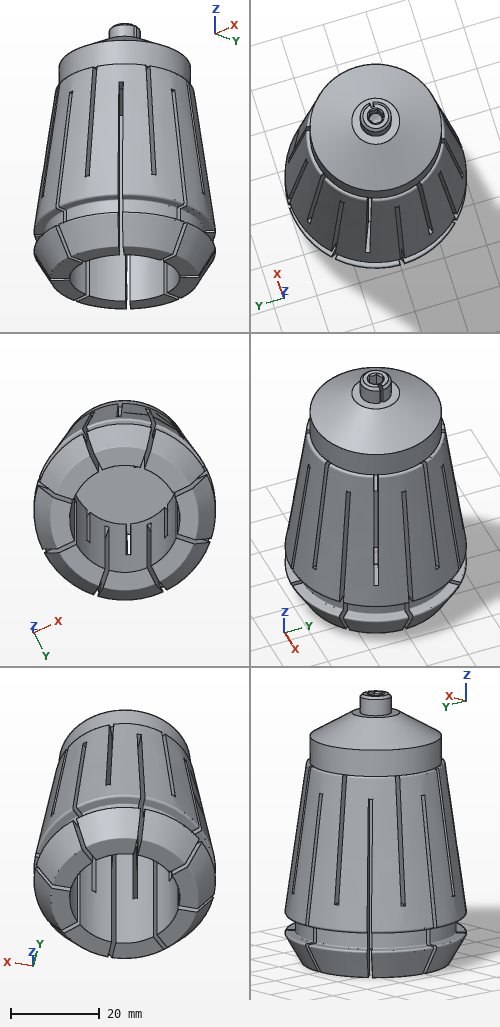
import cadquery as cq
import math

RIM_DIA = 40.85
GROOVE_DIA = 36.2
NOSE_ANGLE = 30.0
BODY_ANGLE = 8.0
NOSE_TOP_Z = 7.0
BODY_BOTTOM_Z = 11.05
BODY_TOP_Z = 46.05
BODY_ROUND = 0.5
NOSE_ROUND = 0.4
SMALL_ROUND = 0.25
BORE_DIA = 24.8

CAP_DIA = 29.6
CAP_SHOULDER_Z = 52.1
CAP_TOP_Z = 57.5
CAP_TOP_DIA = 10.75

PIN_DIA = 7.0
PIN_TOP_Z = 61.8
PIN_CHAMFER = 0.6
HEX_ACROSS_FLATS = 3.0
HEX_DEPTH = 3.1
HEX_MOUTH_DIA = 3.85
DRILL_POINT_ANGLE = 60.0
SLIT_WIDTH = 0.75
SLIT_INNER_RADIUS = 2.3
SLIT_OUTER_RADIUS = 3.15

SLOT_COUNT = 8
SLOT_WIDTH = 1.0
LOWER_SLOT_TOP_Z = 41.1
UPPER_SLOT_BOTTOM_Z = 17.05

rim_radius = RIM_DIA / 2
bore_radius = BORE_DIA / 2


def sharp_rim_radius(half_angle, fillet_radius):
    """Radius where a cone meets its groove wall before the rim is rounded down to RIM_DIA."""
    corner_angle = math.radians(90 - half_angle)
    return rim_radius - fillet_radius + fillet_radius / math.tan(corner_angle / 2)


def cone_radius(start_radius, height, half_angle):
    """Radius of a narrowing cone at a height from its start_radius."""
    return start_radius - height * math.tan(math.radians(half_angle))


def round_edge(body, radius, z, fillet_radius):
    """Fillet the circular edge of the given radius that lies at height z."""
    tolerance = 0.0005
    matching = [
        edge
        for edge in body.edges("%CIRCLE").vals()
        if abs(edge.radius() - radius) < tolerance and abs(edge.Center().z - z) < tolerance
    ]
    return body.newObject(matching).fillet(fillet_radius)


def turned_body():
    """Collet, cap and pin as one revolved solid with the bore open below."""
    groove_radius = GROOVE_DIA / 2
    nose_rim_radius = sharp_rim_radius(NOSE_ANGLE, NOSE_ROUND)
    nose_bottom_radius = cone_radius(nose_rim_radius, NOSE_TOP_Z, NOSE_ANGLE)
    body_rim_radius = sharp_rim_radius(BODY_ANGLE, BODY_ROUND)
    body_top_radius = cone_radius(body_rim_radius, BODY_TOP_Z - BODY_BOTTOM_Z, BODY_ANGLE)
    outline = [
        (bore_radius, 0),
        (nose_bottom_radius, 0),
        (nose_rim_radius, NOSE_TOP_Z),
        (groove_radius, NOSE_TOP_Z),
        (groove_radius, BODY_BOTTOM_Z),
        (body_rim_radius, BODY_BOTTOM_Z),
        (body_top_radius, BODY_TOP_Z),
        (CAP_DIA / 2, BODY_TOP_Z),
        (CAP_DIA / 2, CAP_SHOULDER_Z),
        (CAP_TOP_DIA / 2, CAP_TOP_Z),
        (PIN_DIA / 2, CAP_TOP_Z),
        (PIN_DIA / 2, PIN_TOP_Z - PIN_CHAMFER),
        (PIN_DIA / 2 - PIN_CHAMFER, PIN_TOP_Z),
        (0, PIN_TOP_Z),
        (0, BODY_TOP_Z),
        (bore_radius, BODY_TOP_Z),
    ]
    body = cq.Workplane("XZ").polyline(outline).close().revolve(360, (0, 0, 0), (0, 1, 0))
    body = round_edge(body, nose_rim_radius, NOSE_TOP_Z, NOSE_ROUND)
    body = round_edge(body, body_rim_radius, BODY_BOTTOM_Z, BODY_ROUND)
    body = round_edge(body, body_top_radius, BODY_TOP_Z, BODY_ROUND)
    body = round_edge(body, groove_radius, NOSE_TOP_Z, SMALL_ROUND)
    body = round_edge(body, groove_radius, BODY_BOTTOM_Z, SMALL_ROUND)
    return round_edge(body, nose_bottom_radius, 0, SMALL_ROUND)


def radial_slot(inner_radius, bottom_z, top_z, angle):
    """Cutter for one slot from inner_radius out past the rim, at an angle about Z."""
    return (
        cq.Workplane("XY")
        .box(rim_radius, SLOT_WIDTH, top_z - bottom_z, centered=(False, True, False))
        .translate((inner_radius, 0, bottom_z))
        .rotate((0, 0, 0), (0, 0, 1), angle)
    )


def cut_slots(body):
    """Alternate slots open at the bottom with slots open at the top of the collet."""
    pitch = 360 / SLOT_COUNT
    inside_bore = bore_radius - SLOT_WIDTH
    for i in range(SLOT_COUNT):
        body = body.cut(radial_slot(inside_bore, 0, LOWER_SLOT_TOP_Z, i * pitch))
        body = body.cut(radial_slot(inside_bore, UPPER_SLOT_BOTTOM_Z, BODY_TOP_Z, (i + 0.5) * pitch))
    return body


def hex_socket():
    """Cutter for the pin's hexagon socket with a countersunk mouth and a drill point."""
    flat_radius = HEX_ACROSS_FLATS / 2
    floor_z = PIN_TOP_Z - HEX_DEPTH
    corner_dia = HEX_ACROSS_FLATS / math.cos(math.pi / 6)
    hexagon = (
        cq.Workplane("XY", origin=(0, 0, floor_z))
        .polygon(6, corner_dia)
        .extrude(HEX_DEPTH)
        .rotate((0, 0, 0), (0, 0, 1), 30)
    )
    mouth_radius = HEX_MOUTH_DIA / 2
    mouth = cq.Solid.makeCone(0, mouth_radius, mouth_radius, pnt=cq.Vector(0, 0, PIN_TOP_Z - mouth_radius))
    point_depth = flat_radius / math.tan(math.radians(DRILL_POINT_ANGLE))
    point = cq.Solid.makeCone(0, flat_radius, point_depth, pnt=cq.Vector(0, 0, floor_z - point_depth))
    return hexagon.union(cq.Workplane(mouth)).union(cq.Workplane(point))


def pin_slit():
    """Cutter for the lengthwise slit: through the cap, and open to +X along the bare pin."""
    through = (
        cq.Workplane("XY")
        .box(SLIT_OUTER_RADIUS - SLIT_INNER_RADIUS, SLIT_WIDTH, PIN_TOP_Z - BODY_TOP_Z,
             centered=(False, True, False))
        .translate((SLIT_INNER_RADIUS, 0, BODY_TOP_Z))
    )
    open_side = (
        cq.Workplane("XY")
        .box(PIN_DIA / 2, SLIT_WIDTH, PIN_TOP_Z - CAP_TOP_Z, centered=(False, True, False))
        .translate((SLIT_INNER_RADIUS, 0, CAP_TOP_Z))
    )
    return through.union(open_side)


result = cut_slots(turned_body()).cut(hex_socket()).cut(pin_slit())